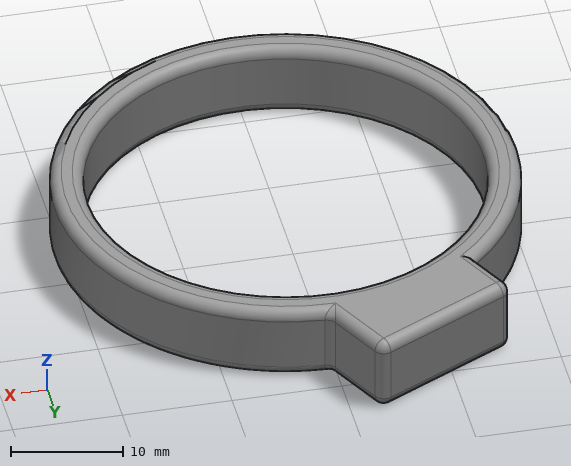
import cadquery as cq
import math

overall_length = 48.0
outer_diameter = 42.0
bore_diameter = 36.0
height = 7.0
edge_radius = 1.0
corner_radius = 1.0

block_angle = 27.0
block_left = -5.0
block_right = 10.0

outer_radius = outer_diameter / 2
bore_radius = bore_diameter / 2
block_width = block_right - block_left

turn = math.radians(block_angle)
corner_centre_x = block_right - edge_radius
corner_centre_height = overall_length - outer_radius - edge_radius
corner_centre_y = (corner_centre_height - corner_centre_x * math.sin(turn)) / math.cos(turn)
block_face_distance = corner_centre_y + edge_radius

meeting_y = math.sqrt(outer_radius**2 - block_right**2)
meeting_point = (
    block_right * math.cos(turn) - meeting_y * math.sin(turn),
    block_right * math.sin(turn) + meeting_y * math.cos(turn),
    height / 2,
)


def make_disc():
    """Solid disc that carries the outer wall of the ring."""
    return cq.Workplane("XY").circle(outer_radius).extrude(height)


def make_block():
    """Block from the middle of the disc to its outer face, outer upright edges rounded."""
    block = (
        cq.Workplane("XY")
        .box(block_width, block_face_distance, height, centered=False)
        .translate((block_left, 0, 0))
        .edges("|Z and >Y")
        .fillet(edge_radius)
    )
    return block.rotate((0, 0, 0), (0, 0, 1), block_angle)


def make_ring():
    """Ring and block in one piece, with rounded rims and a blended right inside corner."""
    bore = cq.Workplane("XY").circle(bore_radius).extrude(height)
    blank = make_disc().union(make_block()).cut(bore)
    rounded = blank.faces("<Z or >Z").edges().fillet(edge_radius)
    inside_corner = cq.selectors.NearestToPointSelector(meeting_point)
    return rounded.edges(inside_corner).fillet(corner_radius)


ring = make_ring()

result = cq.Compound.makeCompound([ring.val()])